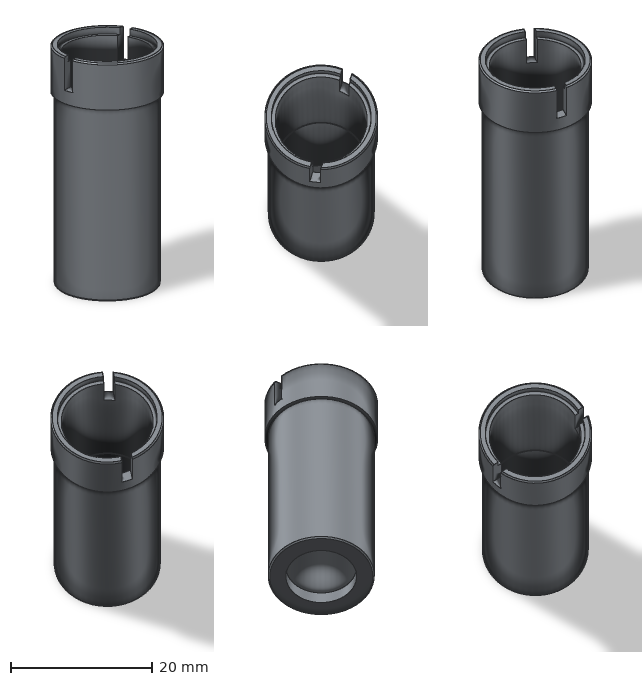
import cadquery as cq

total_height = 36.0
head_diameter = 16.0
head_height = 7.02
body_diameter = 15.0
edge_chamfer = 0.2

recess_diameter = 14.1
recess_depth = 1.0
bore_diameter = 13.0
lower_bore_diameter = 12.8
lower_bore_top = 18.0
floor_thickness = 2.0
floor_hole_diameter = 10.0

slot_width = 1.5
slot_depth = 5.0
slot_center_x = -1.48


def cylinder(diameter, bottom, top):
    """Upright cylinder on the part axis between two heights."""
    return cq.Workplane("XY").workplane(offset=bottom).circle(diameter / 2).extrude(top - bottom)


def outer_shape():
    """Tube body with a wider head, chamfered at both outer ends."""
    body = cylinder(body_diameter, 0, total_height).faces("<Z").chamfer(edge_chamfer)
    head = cylinder(head_diameter, total_height - head_height, total_height)
    return body.union(head.faces(">Z").chamfer(edge_chamfer))


def stepped_bore():
    """Through hole that widens in steps toward the top."""
    recess_floor = total_height - recess_depth
    return (
        cylinder(floor_hole_diameter, 0, total_height)
        .union(cylinder(lower_bore_diameter, floor_thickness, total_height))
        .union(cylinder(bore_diameter, lower_bore_top, total_height))
        .union(cylinder(recess_diameter, recess_floor, total_height))
    )


def wrench_slots():
    """One bar along Y that cuts both walls of the head."""
    return (
        cq.Workplane("XY")
        .box(slot_width, head_diameter, slot_depth, centered=(True, True, False))
        .translate((slot_center_x, 0, total_height - slot_depth))
    )


result = outer_shape().cut(stepped_bore()).cut(wrench_slots())